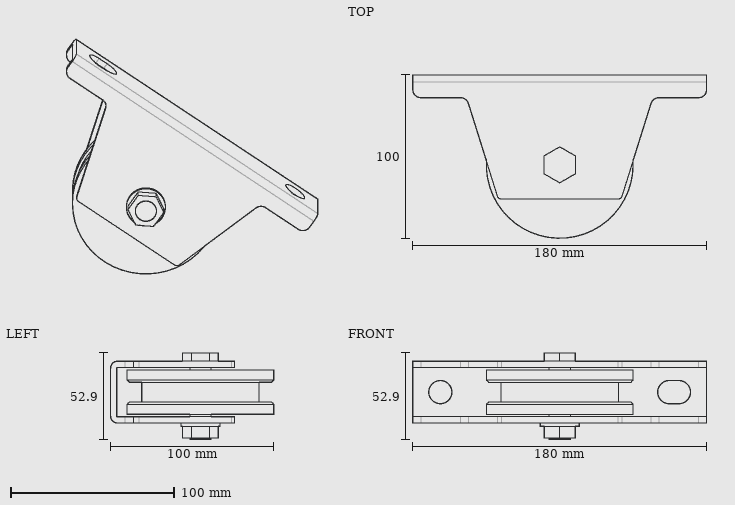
import cadquery as cq
import math

LENGTH = 180.0
BRACKET_HEIGHT = 38.0
SHEET = 4.0
BEND_RADIUS = 4.3
FLANGE_DEPTH = 14.0
CORNER_RADIUS = 5.0
TONGUE_DEPTH = 76.0
TONGUE_ROOT_HALF_WIDTH = 57.0
TONGUE_TIP_HALF_WIDTH = 37.6
TONGUE_TIP_RADIUS = 2.5

HOLE_DIAMETER = 14.0
HOLE_END_DISTANCE = 17.0
SLOT_LENGTH = 20.0
SLOT_END_DISTANCE = 20.0

WHEEL_DIAMETER = 90.0
WHEEL_WIDTH = 27.2
GROOVE_DIAMETER = 72.0
RIM_WIDTH = 7.5
RIM_CHAMFER = 1.5
TOTAL_DEPTH = 100.0
AXLE_Y = WHEEL_DIAMETER / 2 - TOTAL_DEPTH

AXLE_DIAMETER = 13.0
HEX_ACROSS_FLATS = 19.0
HEAD_HEIGHT = 5.0
WASHER_DIAMETER = 24.0
WASHER_THICKNESS = 2.0
NUT_HEIGHT = 7.2
AXLE_END_LENGTH = 0.7

HALF_LENGTH = LENGTH / 2
MID_Z = BRACKET_HEIGHT / 2


def cylinder(diameter, bottom, height):
    """Round disc or rod on the axle line."""
    return cq.Workplane("XY", origin=(0, AXLE_Y, bottom)).circle(diameter / 2).extrude(height)


def hexagon(bottom, height):
    """Hexagonal prism on the axle line, with two flats facing along X."""
    across_corners = HEX_ACROSS_FLATS / math.cos(math.radians(30))
    return (
        cq.Workplane("XY", origin=(0, AXLE_Y, bottom))
        .transformed(rotate=(0, 0, 30))
        .polygon(6, across_corners)
        .extrude(height)
    )


def vertical_edges_at(body, half_width, y):
    """Select the mirrored pair of vertical edges at X = +/-half_width."""
    points = [(side * half_width, y, MID_Z) for side in (-1, 1)]
    selector = cq.selectors.NearestToPointSelector(points[0])
    return body.edges(selector + cq.selectors.NearestToPointSelector(points[1]))


def make_bracket():
    outline = [
        (-HALF_LENGTH, 0),
        (-HALF_LENGTH, -FLANGE_DEPTH),
        (-TONGUE_ROOT_HALF_WIDTH, -FLANGE_DEPTH),
        (-TONGUE_TIP_HALF_WIDTH, -TONGUE_DEPTH),
        (TONGUE_TIP_HALF_WIDTH, -TONGUE_DEPTH),
        (TONGUE_ROOT_HALF_WIDTH, -FLANGE_DEPTH),
        (HALF_LENGTH, -FLANGE_DEPTH),
        (HALF_LENGTH, 0),
    ]
    body = cq.Workplane("XY").polyline(outline).close().extrude(BRACKET_HEIGHT)
    body = vertical_edges_at(body, HALF_LENGTH, -FLANGE_DEPTH).fillet(CORNER_RADIUS)
    body = vertical_edges_at(body, TONGUE_ROOT_HALF_WIDTH, -FLANGE_DEPTH).fillet(CORNER_RADIUS)
    body = vertical_edges_at(body, TONGUE_TIP_HALF_WIDTH, -TONGUE_DEPTH).fillet(TONGUE_TIP_RADIUS)
    body = body.faces(">Y").edges("|X").fillet(BEND_RADIUS)

    channel = (
        cq.Workplane("XY")
        .box(LENGTH, TONGUE_DEPTH, BRACKET_HEIGHT - 2 * SHEET, centered=(True, False, True))
        .translate((0, -SHEET - TONGUE_DEPTH, MID_Z))
    )

    openings = cq.Workplane("XZ", origin=(0, 0, MID_Z))
    hole = openings.center(-HALF_LENGTH + HOLE_END_DISTANCE, 0).circle(HOLE_DIAMETER / 2).extrude(SHEET)
    slot = (
        openings.center(HALF_LENGTH - SLOT_END_DISTANCE, 0)
        .slot2D(SLOT_LENGTH, HOLE_DIAMETER)
        .extrude(SHEET)
    )
    return body.cut(channel).cut(hole).cut(slot)


def make_wheel():
    bottom = MID_Z - WHEEL_WIDTH / 2
    lower_rim = cylinder(WHEEL_DIAMETER, bottom, RIM_WIDTH).faces(">Z").edges().chamfer(RIM_CHAMFER)
    upper_rim = lower_rim.mirror("XY", (0, 0, MID_Z))
    core = cylinder(GROOVE_DIAMETER, bottom, WHEEL_WIDTH)
    return core.union(lower_rim).union(upper_rim)


def make_axle():
    nut_bottom = -WASHER_THICKNESS - NUT_HEIGHT
    axle_bottom = nut_bottom - AXLE_END_LENGTH
    return (
        cylinder(AXLE_DIAMETER, axle_bottom, BRACKET_HEIGHT - axle_bottom)
        .union(hexagon(BRACKET_HEIGHT, HEAD_HEIGHT))
        .union(cylinder(WASHER_DIAMETER, -WASHER_THICKNESS, WASHER_THICKNESS))
        .union(hexagon(nut_bottom, NUT_HEIGHT))
    )


result = make_bracket().union(make_wheel()).union(make_axle())